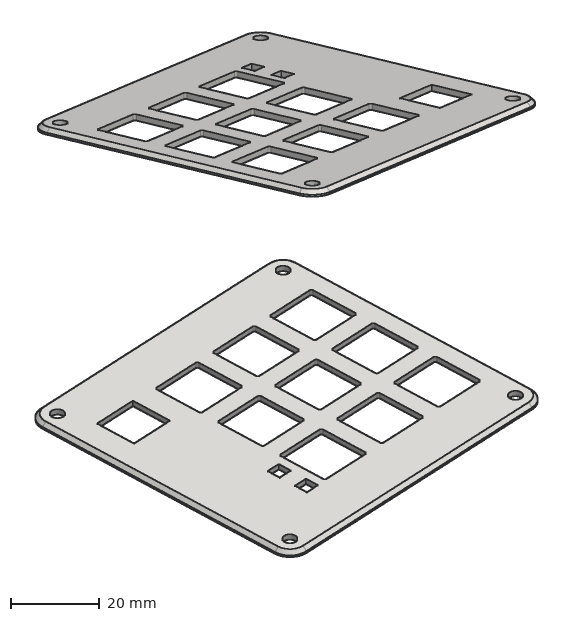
import cadquery as cq

plate_width = 81.4
plate_length = 85.35
plate_thickness = 1.5
corner_radius = 5.0
top_chamfer = 1.0

screw_hole_diameter = 3.4
screw_spacing_x = plate_width - 2 * corner_radius
screw_spacing_y = plate_length - 2 * corner_radius

key_size = 14.0
key_pitch = 19.0
key_count = 3
key_corner_radius = 0.5
key_grid_x = -0.04
key_grid_y = -10.5

window_width = 11.35
window_length = 11.95
window_x = 20.8
window_y = 28.4

small_window_size = 3.7
small_window_spacing = 8.4
small_window_first_x = -24.5
small_window_y = 20.0
small_window_count = 2


def make_plate():
    """Rounded plate centred on the origin, with its top rim chamfered."""
    return (
        cq.Workplane("XY")
        .rect(plate_width, plate_length)
        .extrude(plate_thickness)
        .edges("|Z")
        .fillet(corner_radius)
        .faces(">Z")
        .edges()
        .chamfer(top_chamfer)
    )


def make_screw_holes():
    """Through holes, one at each corner."""
    return (
        cq.Workplane("XY")
        .rect(screw_spacing_x, screw_spacing_y, forConstruction=True)
        .vertices()
        .circle(screw_hole_diameter / 2)
        .extrude(plate_thickness)
    )


def make_key_openings():
    """Square grid of key openings with slightly rounded corners."""
    return (
        cq.Workplane("XY")
        .center(key_grid_x, key_grid_y)
        .rarray(key_pitch, key_pitch, key_count, key_count)
        .rect(key_size, key_size)
        .extrude(plate_thickness)
        .edges("|Z")
        .fillet(key_corner_radius)
    )


def make_window(x, y, width, length):
    """Sharp-cornered rectangular opening centred at (x, y)."""
    return cq.Workplane("XY").center(x, y).rect(width, length).extrude(plate_thickness)


result = (
    make_plate()
    .cut(make_screw_holes())
    .cut(make_key_openings())
    .cut(make_window(window_x, window_y, window_width, window_length))
)
for index in range(small_window_count):
    small_window_x = small_window_first_x + index * small_window_spacing
    result = result.cut(
        make_window(small_window_x, small_window_y, small_window_size, small_window_size)
    )